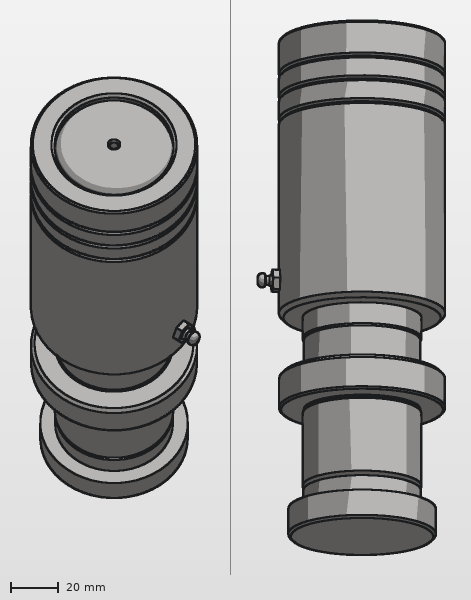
import cadquery as cq
import math

total_height = 215.0
bore_radius = 25.0

sleeve_diameter = 69.9
sleeve_radius = sleeve_diameter / 2
sleeve_bottom = 95.0
sleeve_top_chamfer = 0.9
sleeve_bottom_chamfer = 2.0
bore_chamfer = 1.3
bore_chamfer_cone = 90.0
groove_depth = 1.0
groove_count = 3
top_groove_height = 199.7
groove_pitch = 9.9

cap_flange_diameter = 62.0
cap_flange_height = 12.0
cap_chamfer = 1.0
cap_neck_radius = 24.7
cap_height = 20.0

pillar_bottom_chamfer = 2.0
pillar_top_fillet = 5.0
collar_radius = 34.8
collar_bottom = 55.0
collar_top = 70.0
collar_top_chamfer = 1.5
collar_bottom_chamfer = 0.9
relief_radius = 24.5
relief_taper = 0.9
lower_relief_height = 1.5
land_height = 0.9
upper_relief_top = 86.0
center_hole_radius = 1.7
center_hole_depth = 10.0
center_hole_chamfer = 0.9
drill_point_angle = 118.0

nipple_height = 110.0
nipple_angle = -15.0
hex_across_flats = 8.4
hex_length = 3.0
stem_radius = 3.0
stem_length = 5.0
flare_radius = 2.8
flare_length = 1.3
neck_radius = 2.0
neck_length = 1.5
head_cone_length = 0.5
head_back_radius = 2.8
head_bulge_radius = 3.0
head_bulge_offset = 1.0
tip_radius = 1.0
nipple_reach = 44.0


def nipple_plane(distance):
    """Plane square to the nipple axis, at a distance from the main axis."""
    angle = math.radians(nipple_angle)
    outward = cq.Vector(math.cos(angle), math.sin(angle), 0)
    origin = outward * distance + cq.Vector(0, 0, nipple_height)
    return cq.Plane(origin=origin, xDir=(-math.sin(angle), math.cos(angle), 0), normal=outward)


def revolve_about_z(outline):
    """Turn a closed (radius, height) outline about the main axis."""
    return cq.Workplane("XZ").polyline(outline).close().revolve(360, (0, 0), (0, 1))


def v_groove(height):
    """Ring that cuts a 45 degree V groove around the sleeve."""
    return revolve_about_z([
        (sleeve_radius - groove_depth, height),
        (sleeve_radius, height - groove_depth),
        (sleeve_radius, height + groove_depth),
    ])


def stem_cylinder():
    """Threaded end of the nipple, also used to cut its hole in the sleeve."""
    return cq.Workplane(nipple_plane(sleeve_radius - stem_length)).circle(stem_radius).extrude(stem_length)


def make_sleeve():
    sleeve = (
        cq.Workplane("XY", origin=(0, 0, sleeve_bottom))
        .circle(sleeve_radius)
        .extrude(total_height - sleeve_bottom)
        .faces(">Z").chamfer(sleeve_top_chamfer)
        .faces("<Z").chamfer(sleeve_bottom_chamfer)
        .faces(">Z").workplane()
        .cskHole(2 * bore_radius, 2 * (bore_radius + bore_chamfer), bore_chamfer_cone)
    )
    for index in range(groove_count):
        sleeve = sleeve.cut(v_groove(top_groove_height - index * groove_pitch))
    return sleeve.cut(stem_cylinder())


def center_hole():
    """Chamfered blind hole with a drill point, in the top of the pillar."""
    floor = total_height - center_hole_depth
    point_length = center_hole_radius / math.tan(math.radians(drill_point_angle / 2))
    return revolve_about_z([
        (0, floor - point_length),
        (center_hole_radius, floor),
        (center_hole_radius, total_height - center_hole_chamfer),
        (center_hole_radius + center_hole_chamfer, total_height),
        (0, total_height),
    ])


def make_pillar():
    pillar = revolve_about_z([
        (0, cap_height),
        (bore_radius - pillar_bottom_chamfer, cap_height),
        (bore_radius, cap_height + pillar_bottom_chamfer),
        (bore_radius, collar_bottom - lower_relief_height),
        (relief_radius, collar_bottom - lower_relief_height + relief_taper),
        (relief_radius, collar_bottom),
        (collar_radius - collar_bottom_chamfer, collar_bottom),
        (collar_radius, collar_bottom + collar_bottom_chamfer),
        (collar_radius, collar_top - collar_top_chamfer),
        (collar_radius - collar_top_chamfer, collar_top),
        (bore_radius, collar_top),
        (bore_radius, collar_top + land_height),
        (relief_radius, collar_top + land_height),
        (relief_radius, upper_relief_top - relief_taper),
        (bore_radius, upper_relief_top),
        (bore_radius, total_height),
        (0, total_height),
    ])
    pillar = pillar.faces(">Z").edges().fillet(pillar_top_fillet)
    return pillar.cut(center_hole())


def make_end_cap():
    flange = cq.Workplane("XY").circle(cap_flange_diameter / 2).extrude(cap_flange_height)
    flange = flange.faces("<Z").chamfer(cap_chamfer)
    neck = cq.Workplane("XY").circle(cap_neck_radius).extrude(cap_height)
    return flange.union(neck)


def make_nipple():
    hex_across_corners = hex_across_flats / math.cos(math.pi / 6)
    hex_body = cq.Workplane(nipple_plane(sleeve_radius)).polygon(6, hex_across_corners).extrude(hex_length)
    neck_start = hex_length + flare_length
    neck_end = neck_start + neck_length
    head_back = neck_end + head_cone_length
    fitting_length = nipple_reach - sleeve_radius
    fitting = (
        cq.Workplane(nipple_plane(sleeve_radius))
        .transformed(rotate=(90, 0, 0))
        .lineTo(flare_radius, 0)
        .lineTo(flare_radius, hex_length)
        .lineTo(neck_radius, neck_start)
        .lineTo(neck_radius, neck_end)
        .lineTo(head_back_radius, head_back)
        .threePointArc((head_bulge_radius, head_back + head_bulge_offset), (tip_radius, fitting_length))
        .lineTo(0, fitting_length)
        .close()
        .revolve(360, (0, 0), (0, 1))
    )
    return hex_body.union(fitting).union(stem_cylinder())


sleeve = make_sleeve()
pillar = make_pillar()
end_cap = make_end_cap()
nipple = make_nipple()

result = cq.Compound.makeCompound([sleeve.val(), pillar.val(), end_cap.val(), nipple.val()])